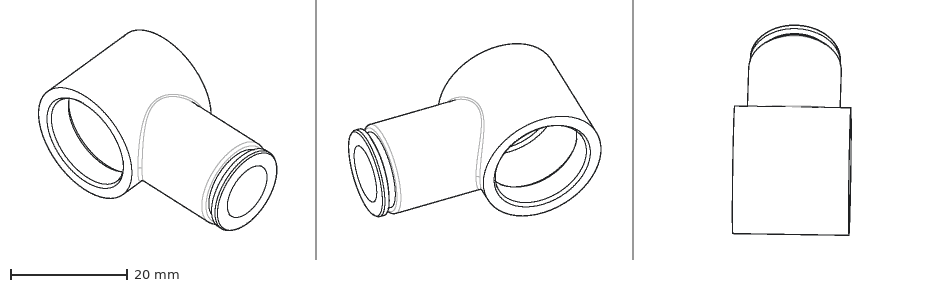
import cadquery as cq

overall_length = 39.8
ring_diameter = 22.0
ring_radius = ring_diameter / 2
ring_width = 20.0
bore_radius = 8.5
bore_chamfer_height = 0.48
bore_chamfer_length = 0.6
groove_width = 10.25
groove_slope_length = 0.65
groove_depth = 0.48

branch_radius = 8.0
branch_end = 26.05
branch_rounding = 0.5
junction_fillet = 0.5
port_radius = 3.98
port_end = 10.03
tube_radius = 5.0

neck_radius = 6.75
neck_end = 27.25
undercut_radius = 6.6
flange_radius = 7.75
flange_start = 27.62
flange_end = overall_length - ring_radius
flange_chamfer_length = 0.35
flange_chamfer_height = 0.25


def branch_cylinder(radius, start, end):
    """Cylinder along +X between two distances from the ring axis."""
    return cq.Workplane("YZ").workplane(offset=start).circle(radius).extrude(end - start)


def make_body():
    """Ring blended into the solid branch, with the branch end rounded."""
    ring = cq.Workplane("XZ").circle(ring_radius).extrude(ring_width / 2, both=True)
    branch = branch_cylinder(branch_radius, 0, branch_end)
    branch = branch.faces(">X").fillet(branch_rounding)
    box_margin = 0.4
    junction_box = cq.selectors.BoxSelector(
        (0, -ring_width / 2 + box_margin, -ring_radius),
        (ring_radius + box_margin, ring_width / 2 - box_margin, ring_radius),
        boundingbox=True,
    )
    return ring.union(branch).edges(junction_box).fillet(junction_fillet)


def make_collar():
    """Neck, shallow undercut and flange, turned about X."""
    flange_rim = flange_end - flange_chamfer_length
    profile = [
        (branch_end - branch_rounding, 0),
        (branch_end - branch_rounding, neck_radius),
        (neck_end, neck_radius),
        (neck_end, undercut_radius),
        (flange_start, undercut_radius),
        (flange_start, flange_radius),
        (flange_rim, flange_radius),
        (flange_end, flange_radius - flange_chamfer_height),
        (flange_end, 0),
    ]
    return cq.Workplane("XY").polyline(profile).close().revolve(360, (0, 0), (1, 0))


def make_bore():
    """Ring bore with chamfered mouths and a wide groove with sloped sides."""
    mouth = ring_width / 2
    groove_edge = groove_width / 2
    mouth_radius = bore_radius + bore_chamfer_height
    groove_radius = bore_radius + groove_depth
    groove_floor = groove_edge - groove_slope_length
    profile = [
        (0, -mouth),
        (mouth_radius, -mouth),
        (bore_radius, -mouth + bore_chamfer_length),
        (bore_radius, -groove_edge),
        (groove_radius, -groove_floor),
        (groove_radius, groove_floor),
        (bore_radius, groove_edge),
        (bore_radius, mouth - bore_chamfer_length),
        (mouth_radius, mouth),
        (0, mouth),
    ]
    return cq.Workplane("XY").polyline(profile).close().revolve(360, (0, 0), (0, 1))


port = branch_cylinder(port_radius, 0, port_end)
tube_socket = branch_cylinder(tube_radius, port_end, flange_end)
result = make_body().union(make_collar()).cut(make_bore()).cut(port).cut(tube_socket)